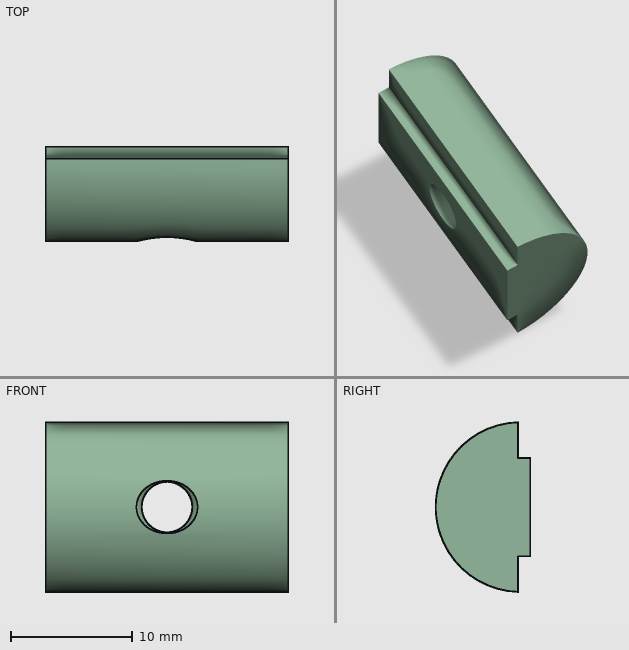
import cadquery as cq

length = 20.0
body_radius = 7.0
body_depth = 6.8
rib_depth = 1.0
rib_height = 8.1
hole_diameter = 4.15
countersink_diameter = 5.05
countersink_angle = 90.0

front_y = -body_radius
back_y = front_y + body_depth
overall_depth = body_depth + rib_depth


def make_body():
    """Cylinder with its rear part cut away to leave a flat back."""
    cylinder = cq.Workplane("YZ").circle(body_radius).extrude(length / 2, both=True)
    front_block = cq.Workplane("XY").box(length, body_depth, 2 * body_radius)
    front_block = front_block.translate((0, front_y + body_depth / 2, 0))
    return cylinder.intersect(front_block)


def make_rib():
    """Full-length rectangular rib on the flat back."""
    rib = cq.Workplane("XY").box(length, rib_depth, rib_height)
    return rib.translate((0, back_y + rib_depth / 2, 0))


def drill_countersunk_hole(part):
    """Through hole along Y, countersunk from the front of the arc."""
    return (
        part.copyWorkplane(cq.Workplane("XZ", origin=(0, front_y, 0)))
        .cskHole(hole_diameter, countersink_diameter, countersink_angle, depth=overall_depth)
    )


result = drill_countersunk_hole(make_body().union(make_rib()))